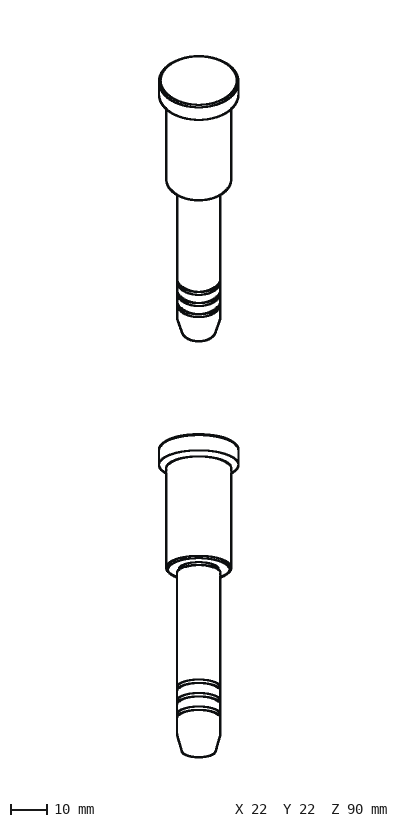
import cadquery as cq
import math

total_length = 90.0
head_height = 5.0
body_end_distance = 36.0
tip_length = 5.0

head_radius = 11.0
body_radius = 9.0
pin_radius = 6.0

edge_chamfer = 0.5
tip_fillet = 0.5
taper_angle = 15.0

neck_length = 1.0
neck_depth = 0.5

groove_radius = 0.5
groove_pitch = 4.0
pin_groove_count = 3
first_groove_distance = 71.0

head_bottom_z = total_length - head_height
body_bottom_z = total_length - body_end_distance
first_groove_top_z = total_length - first_groove_distance

neck_radius = pin_radius - neck_depth
tip_radius = pin_radius - tip_length * math.tan(math.radians(taper_angle))


def revolve_about_z(profile):
    """Close a half profile in the XZ plane and turn it around the Z axis."""
    return profile.close().revolve(360, (0, 0, 0), (0, 1, 0))


def make_stepped_pin():
    """Head, body, neck, pin and tapered tip; the half profile lies on the -X side of the axis."""
    profile = (
        cq.Workplane("XZ")
        .moveTo(0, total_length)
        .lineTo(-(head_radius - edge_chamfer), total_length)
        .lineTo(-head_radius, total_length - edge_chamfer)
        .lineTo(-head_radius, head_bottom_z)
        .lineTo(-body_radius, head_bottom_z)
        .lineTo(-body_radius, body_bottom_z + edge_chamfer)
        .lineTo(-(body_radius - edge_chamfer), body_bottom_z)
        .lineTo(-neck_radius, body_bottom_z)
        .lineTo(-neck_radius, body_bottom_z - neck_length)
        .lineTo(-pin_radius, body_bottom_z - neck_length)
        .lineTo(-pin_radius, tip_length)
        .lineTo(-tip_radius, 0)
        .lineTo(0, 0)
    )
    return revolve_about_z(profile).faces("<Z").edges().fillet(tip_fillet)


def make_groove(shaft_radius, top_z):
    """Cutter for a half-round ring groove in a shaft of the given radius."""
    floor_radius = shaft_radius - groove_radius
    profile = (
        cq.Workplane("XZ")
        .moveTo(-shaft_radius, top_z)
        .threePointArc((-floor_radius, top_z - groove_radius), (-shaft_radius, top_z - 2 * groove_radius))
    )
    return revolve_about_z(profile)


result = make_stepped_pin().cut(make_groove(body_radius, head_bottom_z))
for index in range(pin_groove_count):
    groove_top_z = first_groove_top_z - index * groove_pitch
    result = result.cut(make_groove(pin_radius, groove_top_z))